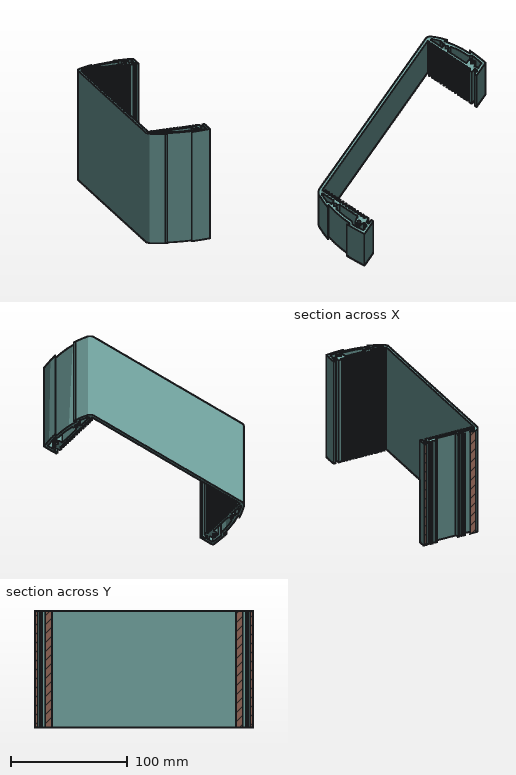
import cadquery as cq

length = 100.0
half_width = 93.495
height = 54.6
floor_thickness = 2.7

wall_inner_x = 80.3
wall_outer_x = 82.5
rib_tip_x = 78.6
rib_count = 14
rib_pitch = 3.0
rib_thickness = 1.2
first_rib_y = 5.4

flange_bottom_y = 52.4
flange_outer_x = 92.2
neck_inner_x = 82.6
neck_outer_x = 84.75
block_top_y = 49.6
block_top_slope = 0.4
block_bottom_y = first_rib_y + rib_count * rib_pitch - rib_thickness / 2

upper_hook_y = 37.1
upper_notch_y = 39.0
upper_hook_root_x = 92.05
middle_top_x = 91.5
middle_bottom_x = 88.15
middle_bottom_y = 14.6
lower_hook_x = 90.4
lower_hook_y = 15.8
lower_hook_root_x = 89.1
lower_hook_root_y = 14.6
corner_top_x = 85.25
corner_top_y = 2.7
floor_edge_x = 80.95

corner_arc_middle = (83.45, 0.85)
lower_arc_middle = (88.2, 9.3)
middle_arc_middle = (90.5, 25.8)
upper_arc_middle = (93.05, 45.9)

side_channel_x = 85.95
side_channel_y = 44.75
side_channel_radius = 1.3
side_channel_opening = 1.5
lip_tip_x = 88.2

up_channel_x = 84.85
up_channel_y = 19.2
up_channel_radius = 1.3

up_channel_mouth_y = 20.5
up_channel_mouth_width = 0.8

upper_cavity_top_y = 52.0
skin_top_x = 89.9
skin_arc_middle = (90.5, 47.3)
skin_arc_end = (91.0, 41.3)
skin_step_start = (89.4, 40.1)
skin_step_end = (88.9, 38.2)
skin_lower_arc_middle = (88.5, 29.5)
ledge_outer_x = 87.1
ledge_inner_x = 86.0
ledge_y = 21.9
wall_foot_y = 22.2
lip_root_bottom = (84.8, 41.2)
lip_tip_bottom_y = 42.3
lip_tip_top_y = 47.2
lip_root_top = (84.3, 48.4)
neck_foot_bottom_y = 49.4
neck_foot_top_y = 49.9

lower_cavity_top_y = 16.4
lower_cavity_top_x = 86.0
lower_cavity_waist = (85.6, 14.9)
lower_cavity_bulge_x = 86.5
lower_cavity_bulge_top_y = 12.2
lower_cavity_bulge_bottom_y = 11.6
lower_cavity_bottom_x = 83.7
lower_cavity_bottom_y = 4.4


def extrude(section):
    """Close an outline and extrude it over the full length."""
    return section.close().extrude(length)


def box(x_min, x_max, y_min, y_max):
    """Full-length block over the given X and Y ranges."""
    size_x = x_max - x_min
    size_y = y_max - y_min
    return cq.Workplane("XY").box(size_x, size_y, length, centered=False).translate((x_min, y_min, 0))


def cylinder(x, y, radius):
    """Full-length round bar along Z."""
    return cq.Workplane("XY").center(x, y).circle(radius).extrude(length)


def half_body():
    """Solid half section: half the floor and one side wall, without cavities."""
    return extrude(
        cq.Workplane("XY")
        .moveTo(0, 0)
        .lineTo(floor_edge_x, 0)
        .threePointArc(corner_arc_middle, (corner_top_x, corner_top_y))
        .threePointArc(lower_arc_middle, (lower_hook_x, lower_hook_y))
        .lineTo(lower_hook_root_x, lower_hook_root_y)
        .lineTo(middle_bottom_x, middle_bottom_y)
        .threePointArc(middle_arc_middle, (middle_top_x, upper_notch_y))
        .lineTo(upper_hook_root_x, upper_notch_y)
        .lineTo(half_width, upper_hook_y)
        .threePointArc(upper_arc_middle, (flange_outer_x, height))
        .lineTo(rib_tip_x, height)
        .lineTo(rib_tip_x, flange_bottom_y)
        .lineTo(neck_inner_x, flange_bottom_y)
        .lineTo(neck_inner_x, block_top_y + block_top_slope)
        .lineTo(rib_tip_x, block_top_y)
        .lineTo(rib_tip_x, block_bottom_y)
        .lineTo(wall_inner_x, block_bottom_y)
        .lineTo(wall_inner_x, floor_thickness)
        .lineTo(0, floor_thickness)
    )


def upper_cavity():
    """Long hollow between the inner wall and the skin, running around the lips."""
    half_mouth = up_channel_mouth_width / 2
    return extrude(
        cq.Workplane("XY")
        .moveTo(neck_outer_x, upper_cavity_top_y)
        .lineTo(skin_top_x, upper_cavity_top_y)
        .threePointArc(skin_arc_middle, skin_arc_end)
        .lineTo(*skin_step_start)
        .lineTo(*skin_step_end)
        .threePointArc(skin_lower_arc_middle, (ledge_outer_x, ledge_y))
        .lineTo(ledge_inner_x, ledge_y)
        .lineTo(up_channel_x + half_mouth, up_channel_mouth_y)
        .lineTo(up_channel_x - half_mouth, up_channel_mouth_y)
        .lineTo(wall_outer_x, wall_foot_y)
        .lineTo(wall_outer_x, lip_root_bottom[1])
        .lineTo(*lip_root_bottom)
        .lineTo(lip_tip_x, lip_tip_bottom_y)
        .lineTo(lip_tip_x, lip_tip_top_y)
        .lineTo(*lip_root_top)
        .lineTo(lip_root_top[0], neck_foot_bottom_y)
        .lineTo(neck_outer_x, neck_foot_top_y)
    )


def lower_cavity():
    """Tapered hollow behind the lower shell."""
    return extrude(
        cq.Workplane("XY")
        .moveTo(wall_outer_x, lower_cavity_top_y)
        .lineTo(lower_cavity_top_x, lower_cavity_top_y)
        .lineTo(*lower_cavity_waist)
        .lineTo(lower_cavity_bulge_x, lower_cavity_bulge_top_y)
        .lineTo(lower_cavity_bulge_x, lower_cavity_bulge_bottom_y)
        .lineTo(lower_cavity_bottom_x, lower_cavity_bottom_y)
        .lineTo(wall_outer_x, lower_cavity_bottom_y)
    )


def side_screw_channel():
    """Round channel that opens outwards between the lips."""
    half_opening = side_channel_opening / 2
    opening = box(
        side_channel_x, lip_tip_x,
        side_channel_y - half_opening, side_channel_y + half_opening,
    )
    return cylinder(side_channel_x, side_channel_y, side_channel_radius).union(opening)


def up_screw_channel():
    """Round channel that opens upwards into the upper cavity."""
    half_opening = up_channel_mouth_width / 2
    opening = box(
        up_channel_x - half_opening, up_channel_x + half_opening,
        up_channel_y, up_channel_y + 2 * up_channel_radius,
    )
    return cylinder(up_channel_x, up_channel_y, up_channel_radius).union(opening)


def guide_rib(index):
    """One card guide rib, rooted in the inner wall."""
    y_mid = first_rib_y + index * rib_pitch
    return box(rib_tip_x, wall_outer_x, y_mid - rib_thickness / 2, y_mid + rib_thickness / 2)


half = half_body().cut(upper_cavity()).cut(lower_cavity())
half = half.cut(side_screw_channel()).cut(up_screw_channel())
for rib_index in range(rib_count):
    half = half.union(guide_rib(rib_index))

result = half.union(half.mirror("YZ")).clean()